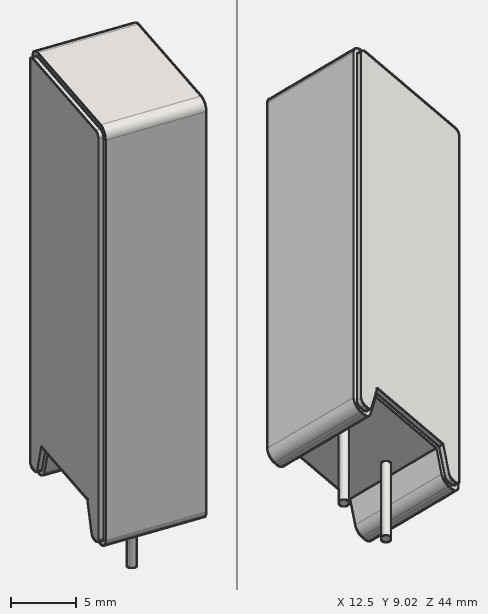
import cadquery as cq

total_height = 44.0
body_width = 12.5
body_depth = 8.6
plate_thickness = 0.42
plate_inset = 0.405
corner_radius = 0.9

foot_bottom_z = 5.0
notch_top_z = 8.0
notch_half_width_top = 3.6
notch_half_width_bottom = 4.4

lead_diameter = 0.8
lead_spacing = 5.0
lead_overlap = 0.9

total_depth = body_depth + plate_thickness
half_width = body_width / 2


def body_outline(y):
    """Front outline of the body with sharp corners, on the plane at the given Y."""
    right_half = [
        (notch_half_width_top, notch_top_z),
        (notch_half_width_bottom, foot_bottom_z),
        (half_width, foot_bottom_z),
        (half_width, total_height),
    ]
    left_half = [(-x, z) for x, z in reversed(right_half)]
    return cq.Workplane("XZ", origin=(0, y, 0)).polyline(right_half + left_half).close()


def round_corners(block, radius):
    """Round the top corners and both feet, leaving the notch roof corners sharp."""
    middle_z = (notch_top_z + total_height) / 2
    tops = block.edges("|Y").filter(lambda edge: edge.Center().z > middle_z)
    block = tops.fillet(radius)
    feet_limit_z = (foot_bottom_z + notch_top_z) / 2
    feet = block.edges("|Y").filter(lambda edge: edge.Center().z < feet_limit_z)
    return feet.fillet(radius)


body = round_corners(body_outline(total_depth).extrude(body_depth), corner_radius)

plate = body_outline(plate_thickness).offset2D(-plate_inset, "intersection").extrude(plate_thickness)
plate = round_corners(plate, corner_radius - plate_inset)

leads = (
    cq.Workplane("XY", origin=(0, total_depth / 2, 0))
    .rarray(lead_spacing, 0.45, 2, 1)
    .circle(lead_diameter / 2)
    .extrude(notch_top_z + lead_overlap)
)

result = body.union(plate).union(leads)